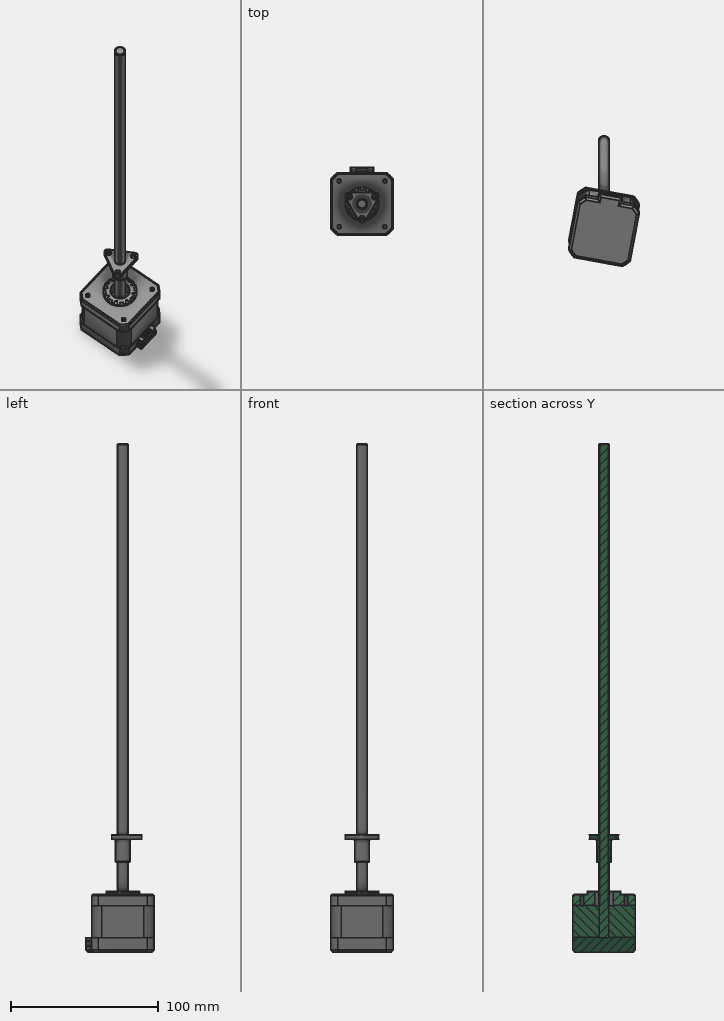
import cadquery as cq
import math

total_height = 344.0
motor_width = 42.3
half_width = motor_width / 2
rear_cap_top = 10.0
stator_top = 31.5
motor_top = 39.2
cap_corner_radius = 27.0
stator_corner_radius = 25.5
top_chamfer = 1.0
bottom_chamfer = 1.7

boss_radius = 11.5
boss_height = 2.0
boss_flat_radius = 8.5
boss_rim_drop = 0.7
bearing_bore_radius = 6.5
spoke_count = 8
pad_width = 6.0
pad_notch_width = 2.5
pad_notch_start = 9.5
pocket_inner_radius = 14.0
pocket_width = 6.0
pocket_outer_reach = 16.0
pocket_roof = 1.0
screw_hole_spacing = 31.0
screw_hole_diameter = 2.8
screw_hole_depth = 4.5

shelf_width = 16.2
shelf_top = 3.8
connector_reach = 3.8
connector_outer_y = half_width + connector_reach
plate_thickness = 1.0
connector_width = 14.5
socket_width = 12.5
socket_depth = 3.0
socket_bottom = 5.5
socket_roof = 0.85
window_width = 8.0
window_margin = 0.85
groove_depth = 0.5
groove_height = 0.7
groove_bottom = 7.2
groove_length = 2.58

lead_diameter = 7.2
lead_radius = lead_diameter / 2
lead_chamfer = 0.7

nut_bottom = 61.0
nut_top = 79.5
flange_thickness = 3.0
barrel_diameter = 10.0
barrel_radius = barrel_diameter / 2
barrel_chamfer = 0.7
barrel_fillet = 0.7
flange_corner_distance = 10.5
flange_corner_radius = 2.25
flange_hole_distance = 9.5
flange_hole_radius = 1.7
flange_corner_angles = (30, 150, 270)


def cylinder(radius, bottom, top):
    return cq.Workplane("XY").workplane(offset=bottom).circle(radius).extrude(top - bottom)


def block(width, y_min, y_max, bottom, top):
    """Box centred on X = 0."""
    box = cq.Workplane("XY").box(width, y_max - y_min, top - bottom, centered=(True, False, False))
    return box.translate((0, y_min, bottom))


def motor_section(corner_radius, bottom, top):
    """Square slice of the motor with its corners rounded about the motor axis."""
    square = block(motor_width, -half_width, half_width, bottom, top)
    return square.intersect(cylinder(corner_radius, bottom, top))


def around_axis(shape):
    """Copies of a shape at equal angles around the motor axis, as one tool shape."""
    copies = shape
    for index in range(1, spoke_count):
        angle = 360 * index / spoke_count
        copies = copies.union(shape.rotate((0, 0, 0), (0, 0, 1), angle))
    return copies


def make_boss():
    """Round boss with a sloping rim, carrying notched pads that reach full height."""
    boss_top = motor_top + boss_height
    rim_height = boss_height - boss_rim_drop
    profile = [
        (0, motor_top),
        (boss_radius, motor_top),
        (boss_radius, motor_top + rim_height),
        (boss_flat_radius, boss_top),
        (0, boss_top),
    ]
    boss = cq.Workplane("XZ").polyline(profile).close().revolve(360, (0, 0, 0), (0, 1, 0))
    pad_reach = 2 * boss_radius
    pad = block(pad_width, 0, pad_reach, motor_top, boss_top)
    notch = block(pad_notch_width, pad_notch_start, pad_reach, motor_top, boss_top)
    pads = around_axis(pad.cut(notch)).intersect(cylinder(boss_radius, motor_top, boss_top))
    return boss.union(pads)


def make_front_cap():
    cap = motor_section(cap_corner_radius, stator_top, motor_top)
    cap = cap.faces(">Z").chamfer(top_chamfer)
    holes = (
        cq.Workplane("XY")
        .workplane(offset=motor_top - screw_hole_depth)
        .rect(screw_hole_spacing, screw_hole_spacing, forConstruction=True)
        .vertices()
        .circle(screw_hole_diameter / 2)
        .extrude(screw_hole_depth)
    )
    pocket_top = motor_top - pocket_roof
    pocket = block(pocket_width, 0, pocket_outer_reach, stator_top, pocket_top)
    pocket = pocket.cut(cylinder(pocket_inner_radius, stator_top, pocket_top))
    bore = cylinder(bearing_bore_radius, stator_top, motor_top + boss_height)
    return cap.union(make_boss()).cut(holes).cut(around_axis(pocket)).cut(bore)


def make_stator():
    stator = motor_section(stator_corner_radius, rear_cap_top, stator_top)
    return stator.cut(cylinder(lead_radius, rear_cap_top, stator_top))


def make_rear_cap():
    """Cap with a chamfered bottom edge and a shelf under the connector."""
    cap = motor_section(cap_corner_radius, 0, rear_cap_top)
    cap = cap.faces("<Z").chamfer(bottom_chamfer)
    shelf = block(shelf_width, 0, connector_outer_y, 0, shelf_top)
    shelf = shelf.faces("<Z").chamfer(bottom_chamfer)
    return cap.union(shelf)


def make_connector():
    """Socket open toward +Y on a base plate, with a window in its roof and a groove on each side."""
    plate_top = shelf_top + plate_thickness
    socket_back = connector_outer_y - socket_depth
    socket_top = rear_cap_top - socket_roof
    plate = block(shelf_width, half_width, connector_outer_y, shelf_top, plate_top)
    body = block(connector_width, half_width, connector_outer_y, plate_top, rear_cap_top)
    socket = block(socket_width, socket_back, connector_outer_y, socket_bottom, socket_top)
    window = block(
        window_width,
        half_width + window_margin,
        connector_outer_y - window_margin,
        socket_top,
        rear_cap_top,
    )
    groove_top = groove_bottom + groove_height
    groove_back = connector_outer_y - groove_length
    core_width = connector_width - 2 * groove_depth
    grooves = block(connector_width, groove_back, connector_outer_y, groove_bottom, groove_top)
    grooves = grooves.cut(block(core_width, groove_back, connector_outer_y, groove_bottom, groove_top))
    return plate.union(body).cut(socket).cut(window).cut(grooves)


def make_lead_screw():
    screw = cylinder(lead_radius, rear_cap_top, total_height)
    return screw.faces(">Z").chamfer(lead_chamfer)


def corner_points(distance):
    """Points at the given distance from the axis, toward the three flange corners."""
    angles = [math.radians(angle) for angle in flange_corner_angles]
    return [(distance * math.cos(angle), distance * math.sin(angle)) for angle in angles]


def make_nut():
    """Triangular flange with rounded corners and three holes, over a round barrel."""
    flange_bottom = nut_top - flange_thickness
    flange = (
        cq.Workplane("XY")
        .workplane(offset=flange_bottom)
        .polyline(corner_points(flange_corner_distance))
        .close()
        .offset2D(flange_corner_radius, "arc")
        .extrude(flange_thickness)
    )
    flange_holes = (
        cq.Workplane("XY")
        .workplane(offset=flange_bottom)
        .pushPoints(corner_points(flange_hole_distance))
        .circle(flange_hole_radius)
        .extrude(flange_thickness)
    )
    barrel = cylinder(barrel_radius, nut_bottom, flange_bottom)
    barrel = barrel.faces("<Z").chamfer(barrel_chamfer)
    junction = cq.selectors.BoxSelector(
        (-barrel_radius - barrel_fillet, -barrel_radius - barrel_fillet, flange_bottom - barrel_fillet),
        (barrel_radius + barrel_fillet, barrel_radius + barrel_fillet, flange_bottom + barrel_fillet),
        boundingbox=True,
    )
    nut = flange.union(barrel).edges(junction).fillet(barrel_fillet)
    return nut.cut(flange_holes).cut(cylinder(lead_radius, nut_bottom, nut_top))


front_cap = make_front_cap()
stator = make_stator()
rear_cap = make_rear_cap()
connector = make_connector()
lead_screw = make_lead_screw()
nut = make_nut()

bodies = [front_cap, stator, rear_cap, connector, lead_screw, nut]
result = cq.Compound.makeCompound([body.val() for body in bodies])